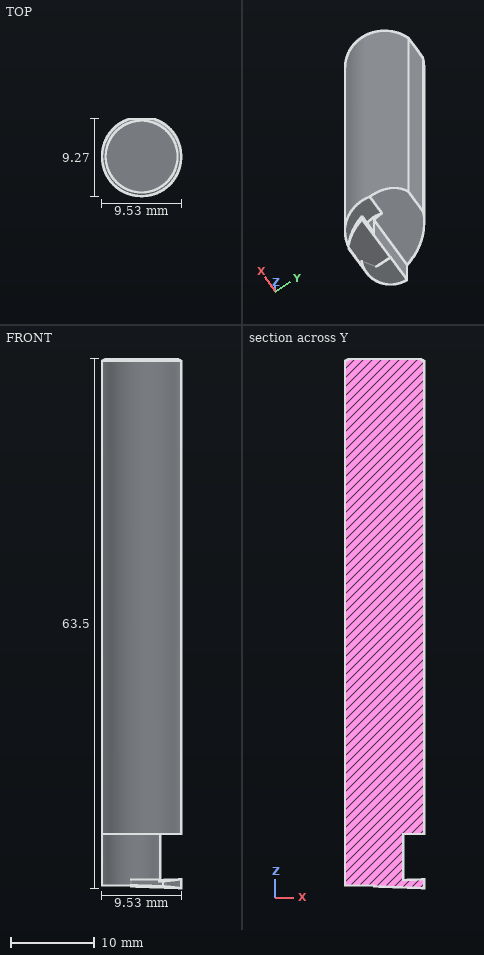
import math

import cadquery as cq


shank_diameter = 9.525
shank_radius = shank_diameter / 2
overall_length = 63.5
shank_bottom = 6.5
depth_over_flat = 9.27
flat_y = depth_over_flat - shank_radius
end_chamfer_radial = 0.45
end_chamfer_axial = 0.26

neck_diameter = 7.0
neck_radius = neck_diameter / 2
neck_x = neck_radius - shank_radius
neck_bottom = 0.32

rake_runout_bottom = 5.45
rake_runout_angle = 45.0

tip_x = shank_radius
tooth_width = 1.1
corner_x = 2.58
corner_facet_x = 0.37
corner_facet_y = 0.29
flank_radius = 7.2
web_top = 1.05
web_end_x = 2.1

taper_angle = 2.0
relief_angle = 3.0
taper_slope = math.tan(math.radians(taper_angle))
relief_slope = math.tan(math.radians(relief_angle))

clearance_size = 40.0


def make_shank():
    """Round shank with a chamfered upper end and a full-length flat on +Y."""
    profile = (
        cq.Workplane("XZ")
        .moveTo(0, shank_bottom)
        .lineTo(shank_radius, shank_bottom)
        .lineTo(shank_radius, overall_length - end_chamfer_axial)
        .lineTo(shank_radius - end_chamfer_radial, overall_length)
        .lineTo(0, overall_length)
        .close()
    )
    shank = profile.revolve(360, (0, 0), (0, 1))
    beyond_flat = (
        cq.Workplane("XY")
        .box(shank_diameter, shank_diameter, overall_length, centered=(True, False, False))
        .translate((0, flat_y, 0))
    )
    return shank.cut(beyond_flat)


def make_neck():
    """Eccentric round neck from just above the tip level up to the shank."""
    neck = cq.Workplane("XY").center(neck_x, 0).circle(neck_radius).extrude(shank_bottom - neck_bottom)
    return neck.translate((0, 0, neck_bottom))


def sloping_block(height, x_slope, y_slope, thickness):
    """Block on a plane through (tip_x, 0, height) that rises toward -X and -Y at the given slopes.

    A positive thickness fills the space above the plane, a negative one the space below.
    """
    plane = cq.Plane(origin=(tip_x, 0, height), xDir=(1, 0, -x_slope), normal=(x_slope, y_slope, 1))
    return cq.Workplane(plane).rect(clearance_size, clearance_size).extrude(thickness)


def make_tooth():
    """Tooth with a curved flank, topped by a level web inside and a relieved face outside."""
    outline = (
        cq.Workplane("XY")
        .moveTo(neck_x, 0)
        .lineTo(neck_x, -neck_radius)
        .lineTo(corner_x, -neck_radius)
        .lineTo(corner_x + corner_facet_x, corner_facet_y - neck_radius)
        .radiusArc((tip_x, 0), -flank_radius)
        .close()
    )
    tooth = outline.extrude(tooth_width)
    tooth = tooth.cut(sloping_block(tooth_width, -taper_slope, -relief_slope, clearance_size))
    web = (
        cq.Workplane("XY")
        .box(web_end_x - neck_x, neck_radius, web_top, centered=False)
        .translate((neck_x, -neck_radius, 0))
    )
    below_tooth = sloping_block(0, taper_slope, relief_slope, -clearance_size)
    return tooth.union(web).cut(below_tooth)


def make_rake_cut():
    """Everything on the +Y side of the rake face, up to its sloping runout."""
    runout_reach = shank_radius
    runout_rise = runout_reach * math.tan(math.radians(rake_runout_angle))
    return (
        cq.Workplane("YZ")
        .moveTo(0, 0)
        .lineTo(runout_reach, 0)
        .lineTo(runout_reach, rake_runout_bottom + runout_rise)
        .lineTo(0, rake_runout_bottom)
        .close()
        .extrude(shank_radius, both=True)
    )


body = make_shank().union(make_neck()).union(make_tooth())
result = body.cut(make_rake_cut())